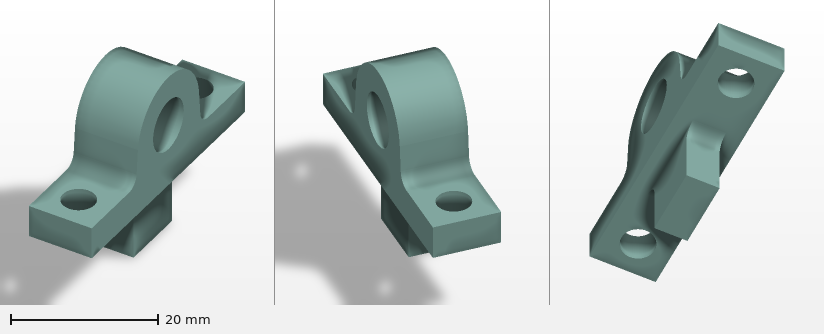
import cadquery as cq
import math

width = 10.0
length = 40.0
plate_thickness = 5.0
bore_height = 10.0
bore_diameter = 8.0
boss_radius = 8.0
flank_angle = math.radians(5.0)
fillet_radius = 2.0
bolt_hole_diameter = 5.0
bolt_hole_offset = 15.2
tang_thickness = width / 2
tang_length = 10.0
tang_depth = 10.0


def make_plate():
    return cq.Workplane("XY").box(width, length, plate_thickness, centered=(True, True, False))


def make_boss():
    """Round-topped boss with flanks tangent to the top arc, flared into the plate."""
    cos_flank = math.cos(flank_angle)
    sin_flank = math.sin(flank_angle)
    arc_end_y = boss_radius * cos_flank
    arc_end_z = bore_height + boss_radius * sin_flank

    fillet_z = plate_thickness + fillet_radius
    rise = bore_height - fillet_z
    fillet_y = (boss_radius + fillet_radius + rise * sin_flank) / cos_flank
    flank_end_y = fillet_y - fillet_radius * cos_flank
    flank_end_z = fillet_z - fillet_radius * sin_flank
    mid_angle = (flank_angle + math.pi / 2) / 2
    fillet_mid_y = fillet_y - fillet_radius * math.cos(mid_angle)
    fillet_mid_z = fillet_z - fillet_radius * math.sin(mid_angle)

    return (
        cq.Workplane("YZ")
        .moveTo(-fillet_y, 0)
        .lineTo(fillet_y, 0)
        .lineTo(fillet_y, plate_thickness)
        .threePointArc((fillet_mid_y, fillet_mid_z), (flank_end_y, flank_end_z))
        .lineTo(arc_end_y, arc_end_z)
        .threePointArc((0, bore_height + boss_radius), (-arc_end_y, arc_end_z))
        .lineTo(-flank_end_y, flank_end_z)
        .threePointArc((-fillet_mid_y, fillet_mid_z), (-fillet_y, plate_thickness))
        .close()
        .extrude(width / 2, both=True)
    )


def make_tang():
    """Narrow tang below the plate, flared along Y where it meets the plate."""
    half = tang_length / 2
    flare = half + fillet_radius
    return (
        cq.Workplane("YZ")
        .moveTo(-flare, 0)
        .radiusArc((-half, -fillet_radius), fillet_radius)
        .lineTo(-half, -tang_depth)
        .lineTo(half, -tang_depth)
        .lineTo(half, -fillet_radius)
        .radiusArc((flare, 0), fillet_radius)
        .close()
        .extrude(tang_thickness / 2, both=True)
    )


def make_bore():
    return (
        cq.Workplane("YZ")
        .center(0, bore_height)
        .circle(bore_diameter / 2)
        .extrude(width / 2, both=True)
    )


def make_bolt_holes():
    return (
        cq.Workplane("XY")
        .pushPoints([(0, -bolt_hole_offset), (0, bolt_hole_offset)])
        .circle(bolt_hole_diameter / 2)
        .extrude(plate_thickness)
    )


body = make_plate().union(make_boss()).union(make_tang())
result = body.cut(make_bore()).cut(make_bolt_holes())